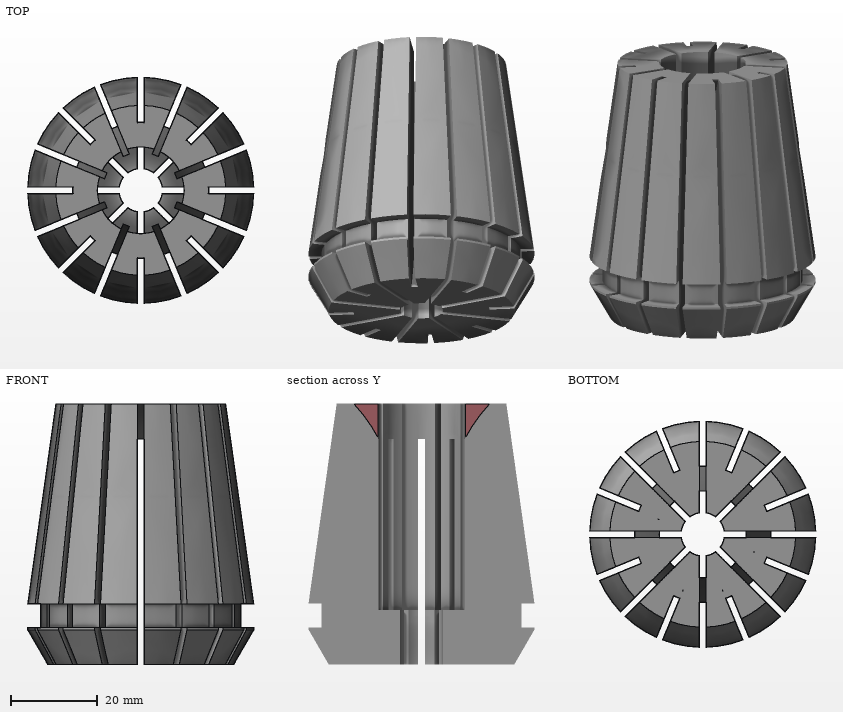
import cadquery as cq
import math

height = 60.0
max_diameter = 52.0
max_radius = max_diameter / 2

nose_height = 8.05
lip_height = 0.5
groove_height = 5.45
groove_radius = 23.05
nose_angle = 30.0
body_taper = 8.0

lip_top = nose_height + lip_height
body_bottom = lip_top + groove_height
nose_radius = max_radius - nose_height * math.tan(math.radians(nose_angle))
top_radius = max_radius - (height - body_bottom) * math.tan(math.radians(body_taper))

small_bore_radius = 5.0
large_bore_radius = 9.95
bore_step_z = 12.5

slit_count = 8
slit_pitch = 360.0 / slit_count
slit_width = 1.5
slit_end_radius = 15.65
saw_radius = 36.0
bottom_saw_depth = 24.6
top_saw_depth = 23.4


def make_body():
    """Revolve the stepped section of the collet about Z."""
    section = [
        (small_bore_radius, 0),
        (nose_radius, 0),
        (max_radius, nose_height),
        (max_radius, lip_top),
        (groove_radius, lip_top),
        (groove_radius, body_bottom),
        (max_radius, body_bottom),
        (top_radius, height),
        (large_bore_radius, height),
        (large_bore_radius, bore_step_z),
        (small_bore_radius, bore_step_z),
    ]
    return cq.Workplane("XZ").polyline(section).close().revolve(360, (0, 0), (0, 1))


def make_slit(saw_depth):
    """Radial slit along +X, open at the bottom, whose curved end runs out at the top face.

    The saw axis lies outside the part, saw_depth below the top face.
    """
    axis_z = height - saw_depth
    axis_radius = slit_end_radius + math.sqrt(saw_radius**2 - saw_depth**2)
    mid_angle = math.asin(saw_depth / saw_radius) / 2
    arc_middle = (
        axis_radius - saw_radius * math.cos(mid_angle),
        axis_z + saw_radius * math.sin(mid_angle),
    )
    outline = (
        cq.Workplane("XZ")
        .moveTo(0, 0)
        .lineTo(max_radius, 0)
        .lineTo(max_radius, height)
        .lineTo(slit_end_radius, height)
        .threePointArc(arc_middle, (axis_radius - saw_radius, axis_z))
        .lineTo(0, axis_z)
        .close()
    )
    return outline.extrude(slit_width / 2, both=True)


bottom_slit = make_slit(bottom_saw_depth)
top_slit = make_slit(top_saw_depth).mirror("XY").translate((0, 0, height))

result = make_body()
for index in range(slit_count):
    angle = index * slit_pitch
    result = result.cut(bottom_slit.rotate((0, 0, 0), (0, 0, 1), angle))
    result = result.cut(top_slit.rotate((0, 0, 0), (0, 0, 1), angle + slit_pitch / 2))